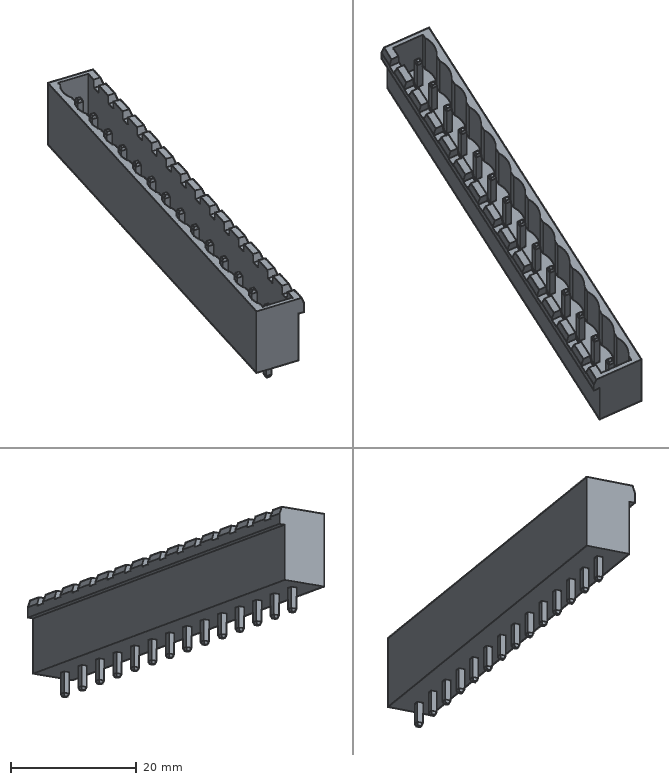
import cadquery as cq

pin_count = 14
pitch = 5.0
pin_width = 1.0
pin_tip_chamfer = 0.2
pin_tip_length = 0.5
pin_tail_length = 4.0
pin_top_height = 9.9

housing_length = 72.0
housing_depth = 7.6
housing_height = 12.0
left_margin = 3.5
front_margin = 3.8

lip_overhang = 1.0
lip_height = 2.9
lip_chamfer_depth = 0.45
lip_chamfer_height = 1.2

floor_thickness = 3.0
end_wall = 0.75
front_wall = 1.5
back_wall = 0.7
scallop_depth = 0.55
scallop_width = 4.0

notch_top_width = 1.9
notch_bottom_width = 1.5
notch_depth = 1.5

left = -left_margin
right = left + housing_length
front = -front_margin
back = front + housing_depth
lip_back = back + lip_overhang
pin_positions = [i * pitch for i in range(pin_count)]


def make_housing():
    """Side profile with the latch lip, extruded along X."""
    lip_bottom = housing_height - lip_height
    return (
        cq.Workplane("YZ", origin=(left, 0, 0))
        .moveTo(front, 0)
        .lineTo(back, 0)
        .lineTo(back, lip_bottom)
        .lineTo(lip_back, lip_bottom)
        .lineTo(lip_back, housing_height - lip_chamfer_height)
        .lineTo(lip_back - lip_chamfer_depth, housing_height)
        .lineTo(front, housing_height)
        .close()
        .extrude(housing_length)
    )


def make_cavity():
    """Pocket with straight ends and back and a scalloped front."""
    cavity_front = front + front_wall
    cavity_back = back - back_wall
    outline = (
        cq.Workplane("XY", origin=(0, 0, floor_thickness))
        .moveTo(right - end_wall, cavity_back)
        .lineTo(left + end_wall, cavity_back)
        .lineTo(left + end_wall, cavity_front)
    )
    for x in pin_positions:
        outline = (
            outline.lineTo(x - scallop_width / 2, cavity_front)
            .threePointArc(
                (x, cavity_front - scallop_depth),
                (x + scallop_width / 2, cavity_front),
            )
        )
    outline = outline.lineTo(right - end_wall, cavity_front).close()
    return outline.extrude(housing_height - floor_thickness)


def make_notch(x):
    """Tapered notch through the lip and the back wall, cut as far as the pin row."""
    notch_bottom = housing_height - notch_depth
    pin_row_distance = lip_back
    return (
        cq.Workplane("XZ", origin=(x, lip_back, 0))
        .moveTo(-notch_top_width / 2, housing_height)
        .lineTo(-notch_bottom_width / 2, notch_bottom)
        .lineTo(notch_bottom_width / 2, notch_bottom)
        .lineTo(notch_top_width / 2, housing_height)
        .close()
        .extrude(pin_row_distance)
    )


def make_pin(x):
    """Square pin with tapered tips at both ends."""
    pin_length = pin_tail_length + pin_top_height
    return (
        cq.Workplane("XY", origin=(x, 0, -pin_tail_length))
        .rect(pin_width, pin_width)
        .extrude(pin_length)
        .faces("<Z or >Z")
        .chamfer(pin_tip_length, pin_tip_chamfer)
    )


result = make_housing().cut(make_cavity())
for pin_x in pin_positions:
    result = result.cut(make_notch(pin_x))
for pin_x in pin_positions:
    result = result.union(make_pin(pin_x))